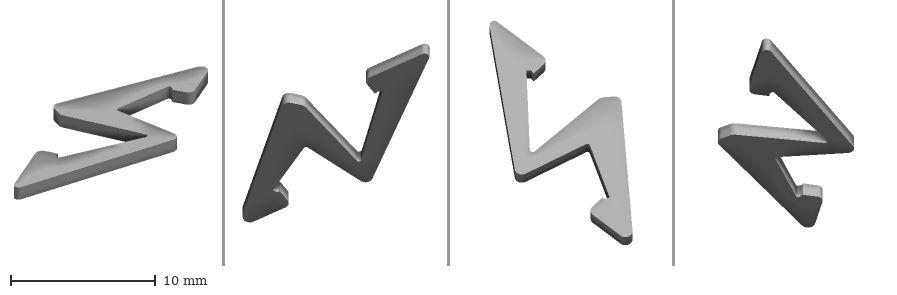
import cadquery as cq
import math

length = 19.13
thickness = 1.0
outer_radius = 0.5
blunt_radius = 0.65
inner_radius = 0.2
tip_radius = 0.33

upper_hook_x = 8.47
upper_hook_y = 15.57
lower_hook_x = 0.94
lower_hook_y = 5.09
upper_lip_x = 6.96
lower_lip_x = 2.43


def end_corner(start, center, radius, side_x):
    """Sharp corner where a line from start, touching the end's rounding, meets the side at side_x."""
    run = center[0] - start[0]
    rise = center[1] - start[1]
    angle = math.atan2(rise, run) + math.asin(radius / math.hypot(run, rise))
    return (side_x, start[1] + (side_x - start[0]) * math.tan(angle))


upper_end_center = (upper_hook_x - outer_radius, length - outer_radius)
lower_end_center = (lower_hook_x + tip_radius, tip_radius)

upper_hook_corner = (upper_hook_x, upper_hook_y)
upper_bend = (4.19, 11.8)
right_corner = (9.75, 10.08)
lower_hook_corner = (lower_hook_x, lower_hook_y)
lower_bend = (7.69, 9.49)
left_lower_corner = (0.86, 9.85)
left_corner = (-0.21, 10.8)
upper_end = end_corner(left_corner, upper_end_center, outer_radius, upper_hook_x)
lower_end = end_corner(right_corner, lower_end_center, tip_radius, lower_hook_x)

upper_notch = [(upper_lip_x, upper_hook_y), (upper_lip_x, 15.7), (6.81, 15.85), (6.6, 15.92)]
lower_notch = [(2.6, 4.55), (2.35, 4.8), (lower_lip_x, 4.9), (lower_lip_x, lower_hook_y)]

outline = [
    upper_end,
    upper_hook_corner,
    *upper_notch,
    upper_bend,
    right_corner,
    lower_end,
    lower_hook_corner,
    *reversed(lower_notch),
    lower_bend,
    left_lower_corner,
    left_corner,
]

rounded_corners = [
    (outer_radius, [upper_end, upper_hook_corner, right_corner, lower_hook_corner,
                    left_corner]),
    (blunt_radius, [left_lower_corner]),
    (inner_radius, [upper_bend, lower_bend]),
    (tip_radius, [lower_end]),
]


def round_corner(body, corner, radius):
    """Fillet the vertical edge standing on an outline corner."""
    nearest = cq.selectors.NearestToPointSelector((*corner, thickness / 2))
    return body.edges("|Z").edges(nearest).fillet(radius)


result = cq.Workplane("XY").polyline(outline).close().extrude(thickness)
for radius, corners in rounded_corners:
    for corner in corners:
        result = round_corner(result, corner, radius)